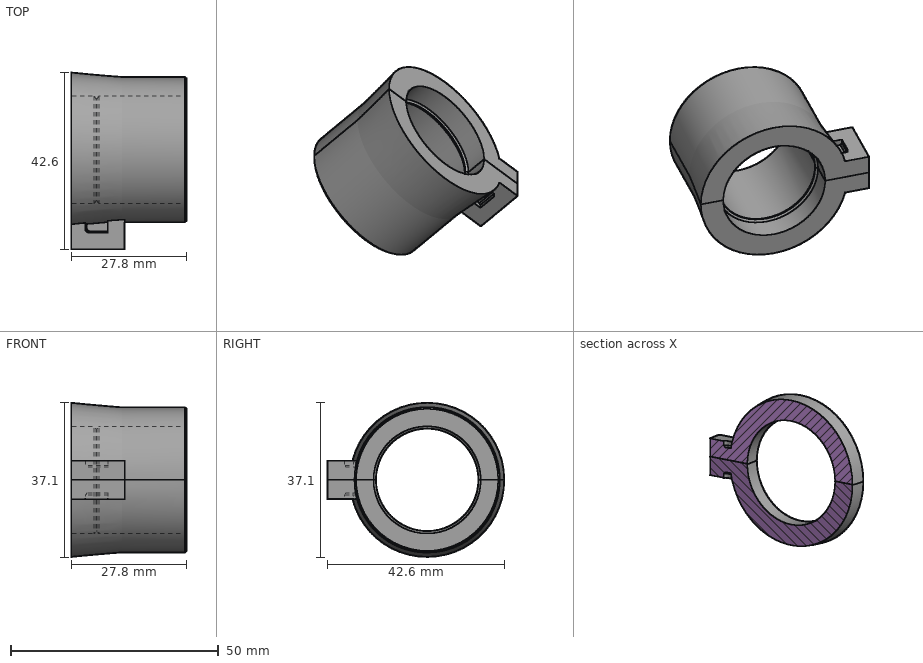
import cadquery as cq

length = 27.8
flare_length = 12.2
body_radius = 17.5
flare_radius = 18.57
flare_sag = 0.05
end_chamfer = 0.4

bore_radius = 12.9
ridge_start = 5.5
ridge_height = 0.6
ridge_flank = 0.4
ridge_land = 0.3

tab_length = 12.9
tab_reach = 24.0
tab_half_height = 4.65
tab_root = 15.0

pocket_start = 3.4
pocket_end = 8.8
pocket_reach = 20.0
pocket_depth = 1.5
pocket_corner_radius = 1.0
pocket_floor_chamfer = 0.4


def revolve_about_x(profile):
    return profile.close().revolve(360, (0, 0, 0), (1, 0, 0))


def sleeve_envelope():
    """Solid outside shape: a bowed flare running into a cylinder."""
    middle_radius = (flare_radius + body_radius) / 2 - flare_sag
    profile = (
        cq.Workplane("XY")
        .lineTo(0, flare_radius)
        .threePointArc((flare_length / 2, middle_radius), (flare_length, body_radius))
        .lineTo(length - end_chamfer, body_radius)
        .lineTo(length, body_radius - end_chamfer)
        .lineTo(length, 0)
    )
    return revolve_about_x(profile)


def bore():
    """Bore cutter, waisted where the ridge is left standing."""
    crest_radius = bore_radius - ridge_height
    crest_start = ridge_start + ridge_flank
    crest_end = crest_start + ridge_land
    profile = (
        cq.Workplane("XY")
        .lineTo(0, bore_radius)
        .lineTo(ridge_start, bore_radius)
        .lineTo(crest_start, crest_radius)
        .lineTo(crest_end, crest_radius)
        .lineTo(crest_end + ridge_flank, bore_radius)
        .lineTo(length, bore_radius)
        .lineTo(length, 0)
    )
    return revolve_about_x(profile)


def tab():
    return cq.Workplane("XY").box(
        tab_length, tab_reach - tab_root, tab_half_height, centered=False
    ).translate((0, -tab_reach, 0))


def pocket():
    """Pocket cutter: one rounded corner, floor bevelled along the two walls that meet there."""
    floor = tab_half_height - pocket_depth
    block = (
        cq.Workplane("XY", origin=(0, 0, floor))
        .moveTo(pocket_start, -tab_root)
        .lineTo(pocket_start, -pocket_reach + pocket_corner_radius)
        .radiusArc((pocket_start + pocket_corner_radius, -pocket_reach), -pocket_corner_radius)
        .lineTo(pocket_end, -pocket_reach)
        .lineTo(pocket_end, -tab_root)
        .close()
        .extrude(pocket_depth)
    )
    bevelled_edges = block.faces("<Z").edges("<X or <Y or %CIRCLE")
    return bevelled_edges.chamfer(pocket_floor_chamfer)


def upper_half():
    envelope = sleeve_envelope()
    pocketed_tab = tab().cut(pocket())
    upper_side = cq.Workplane("XY").box(
        length, 2 * tab_reach, tab_reach, centered=(False, True, False)
    )
    return envelope.union(pocketed_tab).cut(bore()).intersect(upper_side)


upper_clamp = upper_half()
lower_clamp = upper_clamp.mirror("XY")

result = cq.Compound.makeCompound([upper_clamp.solids().val(), lower_clamp.solids().val()])